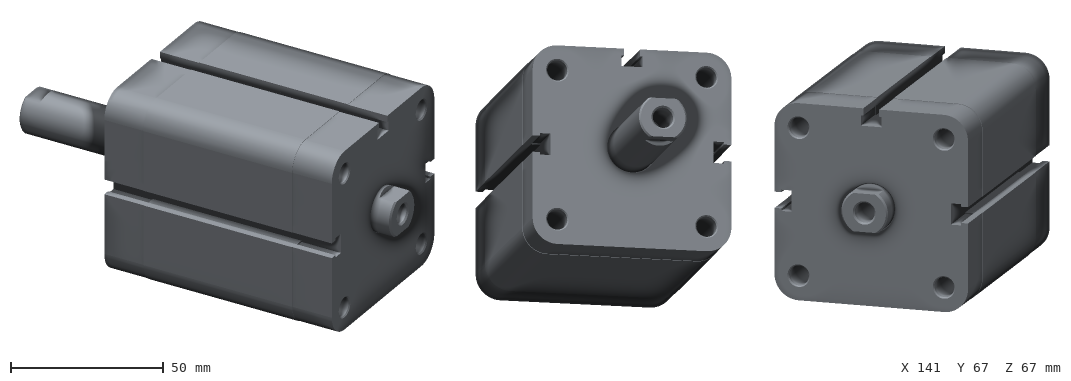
import cadquery as cq

rod_length = 141.0
rod_front_reach = 47.2
rod_diameter = 16.1
rod_chamfer = 0.5

tube_width = 67.0
cap_width = 66.7
body_length = 86.3
cap_length = 15.0
tube_corner_radius = 8.5
bore_chamfer = 0.3

tie_hole_diameter = 6.8
tie_hole_chamfer = 0.4

slot_mouth_width = 5.5
slot_depth = 6.0
slot_lip_thickness = 2.5
cap_slot_width = 7.2
tube_slot_width = 6.3
slot_angles = (0, 90, -90)

wrench_flat_distance = 13.0
wrench_flat_length = 6.0
wrench_flat_runout = 0.5

thread_hole_diameter = 6.8
thread_hole_chamfer = 0.5
thread_hole_depth = 20.0
drill_tip_length = 2.0

tube_length = body_length - 2 * cap_length
tie_hole_offset = tube_width / 2 - tube_corner_radius
rod_radius = rod_diameter / 2
rod_start = -rod_front_reach
rod_middle = rod_start + rod_length / 2
body_middle = body_length / 2


def slot_cutter(undercut_width, length):
    """T-slot prism open at the +Z side, running from X = 0 along +X."""
    half_mouth = slot_mouth_width / 2
    half_undercut = undercut_width / 2
    outer_level = tube_width / 2
    lip_level = outer_level - slot_lip_thickness
    floor_level = outer_level - slot_depth
    return (
        cq.Workplane("YZ")
        .moveTo(-half_mouth, outer_level)
        .lineTo(half_mouth, outer_level)
        .lineTo(half_mouth, lip_level)
        .lineTo(half_undercut, lip_level)
        .lineTo(half_undercut, floor_level)
        .lineTo(-half_undercut, floor_level)
        .lineTo(-half_undercut, lip_level)
        .lineTo(-half_mouth, lip_level)
        .close()
        .extrude(length)
    )


def make_section(width, length, undercut_width):
    """Rounded square block along X with three T-slots, rod bore and tie holes."""
    corner_radius = width / 2 - tie_hole_offset
    section = (
        cq.Workplane("YZ")
        .rect(width, width)
        .extrude(length)
        .edges("|X")
        .fillet(corner_radius)
    )
    for angle in slot_angles:
        cutter = slot_cutter(undercut_width, length)
        section = section.cut(cutter.rotate((0, 0, 0), (1, 0, 0), angle))
    rod_bore = cq.Workplane("YZ").circle(rod_radius).extrude(length)
    tie_holes = (
        cq.Workplane("YZ")
        .rect(2 * tie_hole_offset, 2 * tie_hole_offset, forConstruction=True)
        .vertices()
        .circle(tie_hole_diameter / 2)
        .extrude(length)
    )
    return section.cut(rod_bore).cut(tie_holes)


def mouth_chamfer_cutter(hole_diameter, chamfer):
    """Cone at X = 0 that chamfers the mouth of a hole on the X axis."""
    hole_radius = hole_diameter / 2
    axis = cq.Vector(1, 0, 0)
    cone = cq.Solid.makeCone(hole_radius + chamfer, hole_radius, chamfer, dir=axis)
    return cq.Workplane(cone)


def make_front_cap():
    """End cap with its outer face at X = 0 and chamfered hole mouths there."""
    cap = make_section(cap_width, cap_length, cap_slot_width)
    cap = cap.cut(mouth_chamfer_cutter(rod_diameter, bore_chamfer))
    tie_chamfer = mouth_chamfer_cutter(tie_hole_diameter, tie_hole_chamfer)
    for y in (-tie_hole_offset, tie_hole_offset):
        for z in (-tie_hole_offset, tie_hole_offset):
            cap = cap.cut(tie_chamfer.translate((0, y, z)))
    return cap


def make_tube():
    """Profile tube between the two caps."""
    return make_section(tube_width, tube_length, tube_slot_width).translate((cap_length, 0, 0))


def flat_cutter():
    """Prism above the wrench flat at the front rod end, with a sloped end wall."""
    flat_level = wrench_flat_distance / 2
    flat_end = rod_start + wrench_flat_length
    return (
        cq.Workplane("XZ")
        .moveTo(rod_start, flat_level)
        .lineTo(flat_end, flat_level)
        .lineTo(flat_end + wrench_flat_runout, rod_radius)
        .lineTo(rod_start, rod_radius)
        .close()
        .extrude(rod_radius, both=True)
    )


def thread_hole_cutter():
    """Blind hole at the front rod end with a chamfered mouth and a conical drill tip."""
    radius = thread_hole_diameter / 2
    hole_end = rod_start + thread_hole_depth
    return (
        cq.Workplane("XY")
        .moveTo(rod_start, 0)
        .lineTo(rod_start, radius + thread_hole_chamfer)
        .lineTo(rod_start + thread_hole_chamfer, radius)
        .lineTo(hole_end, radius)
        .lineTo(hole_end + drill_tip_length, 0)
        .close()
        .revolve(360, (0, 0, 0), (1, 0, 0))
    )


def make_rod():
    """Through rod with the same flats, chamfer and threaded hole at both ends."""
    rod = (
        cq.Workplane("YZ", origin=(rod_start, 0, 0))
        .circle(rod_radius)
        .extrude(rod_length)
        .faces("<X or >X")
        .chamfer(rod_chamfer)
    )
    upper_flat = flat_cutter()
    end_cuts = [upper_flat, upper_flat.mirror("XY"), thread_hole_cutter()]
    for cut in end_cuts:
        rod = rod.cut(cut)
        rod = rod.cut(cut.mirror("YZ", (rod_middle, 0, 0)))
    return rod


front_cap = make_front_cap()
rear_cap = front_cap.mirror("YZ", (body_middle, 0, 0))
tube = make_tube()
rod = make_rod()

result = cq.Compound.makeCompound([front_cap.val(), rear_cap.val(), tube.val(), rod.val()])